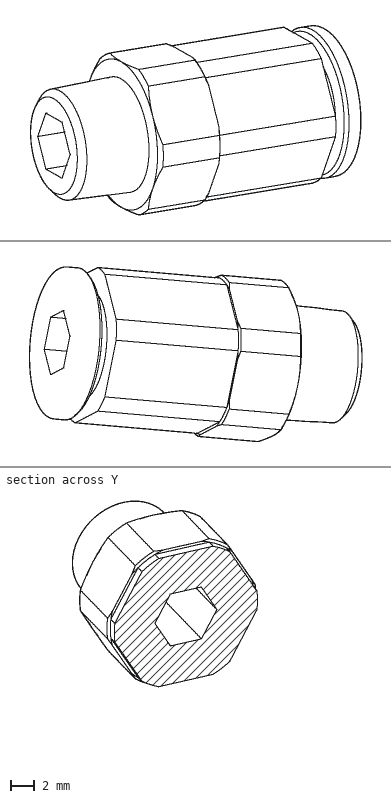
import cadquery as cq
import math


thread_length = 6.5
nut_length = 5.9
body_length = 11.2
neck_length = 1.1
flange_thickness = 1.6
nut_start = thread_length
body_start = nut_start + nut_length
neck_start = body_start + body_length
flange_start = neck_start + neck_length

thread_taper = 1 / 16
gauge_position = 3.0
gauge_diameter = 9.728
thread_chamfer = 0.6

nut_flats = 13.0
nut_diameter = 14.0
nut_chamfer_angle = 30
body_flats = 12.5
body_diameter = 13.5

neck_diameter = 9.25
flange_diameter = 13.0
flange_chamfer = 0.3
flange_fillet = 0.35

key_flats = 5.0

hexagon_sides = 6


def cylinder(diameter, start, length):
    """Cylinder on the Y axis, from `start` towards +Y."""
    plane = cq.Workplane("XZ", origin=(0, start, 0))
    return plane.circle(diameter / 2).extrude(-length)


def hexagon(flats, start, length):
    """Hexagonal prism on the Y axis with flats facing +Z and -Z."""
    corner_diameter = flats / math.cos(math.pi / hexagon_sides)
    plane = cq.Workplane("XZ", origin=(0, start, 0))
    return plane.polygon(hexagon_sides, corner_diameter).extrude(-length)


def revolved(half_profile):
    """Solid of revolution about Y from (radius, y) points."""
    outline = cq.Workplane("XY").polyline(half_profile).close()
    return outline.revolve(360, (0, 0, 0), (0, 1, 0), clean=False)


def thread_radius(y):
    return (gauge_diameter + (y - gauge_position) * thread_taper) / 2


def make_thread():
    """Tapered thread envelope in two lengths that meet at the gauge plane."""
    return revolved([
        (0, 0),
        (thread_radius(thread_chamfer) - thread_chamfer, 0),
        (thread_radius(thread_chamfer), thread_chamfer),
        (thread_radius(gauge_position), gauge_position),
        (thread_radius(thread_length), thread_length),
        (0, thread_length),
    ])


def make_nut():
    """Hexagon whose corners are rounded and bevelled at both ends."""
    radius = nut_diameter / 2
    front_radius = nut_flats / 2
    back_radius = body_diameter / 2
    bevel_slope = math.tan(math.radians(nut_chamfer_angle))
    front_bevel = (radius - front_radius) * bevel_slope
    back_bevel = (radius - back_radius) * bevel_slope
    envelope = revolved([
        (0, nut_start),
        (front_radius, nut_start),
        (radius, nut_start + front_bevel),
        (radius, body_start - back_bevel),
        (back_radius, body_start),
        (0, body_start),
    ])
    return hexagon(nut_flats, nut_start, nut_length).intersect(envelope)


def make_body():
    prism = hexagon(body_flats, body_start, body_length)
    return prism.intersect(cylinder(body_diameter, body_start, body_length))


def make_sleeve():
    """Release sleeve: neck and push flange."""
    neck = cylinder(neck_diameter, neck_start, neck_length)
    flange = cylinder(flange_diameter, flange_start, flange_thickness)
    flange = flange.faces("<Y").chamfer(flange_chamfer)
    flange = flange.faces(">Y").edges().fillet(flange_fillet)
    return neck.union(flange)


overall_length = flange_start + flange_thickness
key_hole = hexagon(key_flats, 0, overall_length)

fitting = make_thread()
for section in (make_nut(), make_body(), make_sleeve()):
    fitting = fitting.union(section, clean=False)
result = fitting.cut(key_hole, clean=False)